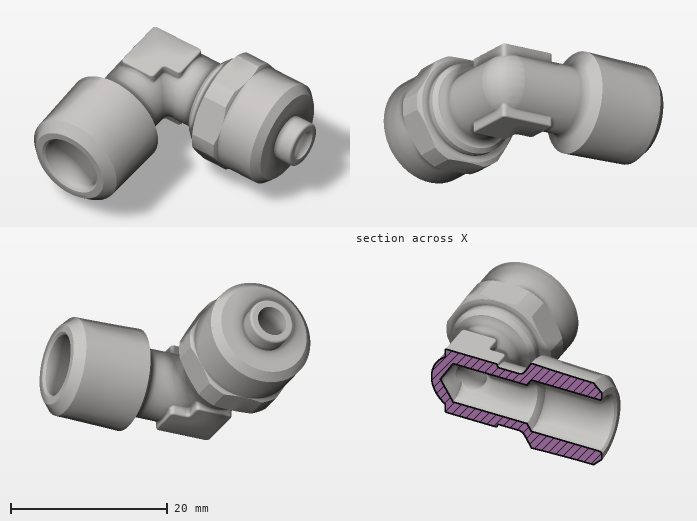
import cadquery as cq
import math


NECK_R = 4.5
OUTER_BEND_R = 4.0
INNER_BEND_R = 1.0

THREAD_NECK_END = 8.0
THREAD_BLEND_R = 1.0
THREAD_SHOULDER_ANGLE = 60
THREAD_BIG_R = 6.68
THREAD_SMALL_R = 6.45
THREAD_END = 20.0
THREAD_CHAMFER = 1.23

BORE_R = 4.0
BORE_END = 9.85
BORE_CHAMFER = 0.3
DRILL_R = 2.98
DRILL_TIP_Y = 3.15
DRILL_TIP_ANGLE = 118

COLLAR_START = 8.4
COLLAR_R = 6.0
COLLAR_CHAMFER = 0.55
COLLAR_BLEND_R = 0.9
TUBE_NECK_END = COLLAR_START - COLLAR_BLEND_R
NUT_START = 9.98
HEX_END = 13.98
NUT_END = 20.0
TUBE_END = 22.5

HEX_FLATS = 14.0
HEX_CORNER_R = 7.5
HEX_FACE_R = 6.9
HEX_CHAMFER_LENGTH = 0.32
NUT_R = HEX_FLATS / 2
NUT_CHAMFER = 1.0
TUBE_R = 3.0
TUBE_BORE_R = 1.98
TUBE_ROUND_R = 0.3

PAD_LONG = 5.0
PAD_SHORT = 2.5
PAD_HEIGHT = 5.0
PAD_CORNER_R = 0.5
PAD_EDGE_R = 0.2

TOLERANCE = 0.003


def revolve_on_x(points):
    """Turn a closed (x, radius) outline about the X axis."""
    return cq.Workplane("XY").polyline(points).close().revolve(360, (0, 0), (1, 0))


def revolve_on_y(points):
    """Turn a closed (radius, y) outline about the Y axis."""
    return cq.Workplane("XY").polyline(points).close().revolve(360, (0, 0), (0, 1))


def elbow_tube():
    """Two round arms joined at a mitre, the outer side of the mitre rounded into a bend."""
    tube_arm = cq.Workplane("YZ", origin=(-NECK_R, 0, 0)).circle(NECK_R).extrude(NECK_R + TUBE_NECK_END)
    thread_arm = cq.Workplane("XZ", origin=(0, NECK_R, 0)).circle(NECK_R).extrude(NECK_R + THREAD_NECK_END)
    reach = 2 * THREAD_END
    corners = [(-reach, reach), (reach, -reach), (reach, reach)]
    tube_side = cq.Workplane("XY").polyline(corners).close().extrude(NECK_R, both=True)
    mitred = tube_arm.intersect(tube_side).union(thread_arm.cut(tube_side))

    pivot = NECK_R - OUTER_BEND_R
    sharp_corner = (
        cq.Workplane("XY")
        .rect(NECK_R, NECK_R, centered=False)
        .extrude(NECK_R, both=True)
        .translate((-NECK_R - pivot, pivot, 0))
    )
    half_height = math.sqrt(NECK_R**2 - pivot**2)
    bend = (
        cq.Workplane("YZ", origin=(-pivot, 0, 0))
        .moveTo(pivot, -half_height)
        .threePointArc((NECK_R, 0), (pivot, half_height))
        .close()
        .revolve(90, (pivot, 0), (pivot, 1))
    )
    return mitred.cut(sharp_corner).union(bend)


def pads():
    """L-shaped block through the elbow whose two ends stand proud as wrench pads."""
    outline = [
        (-PAD_SHORT, PAD_SHORT),
        (PAD_LONG, PAD_SHORT),
        (PAD_LONG, -PAD_SHORT),
        (PAD_SHORT, -PAD_SHORT),
        (PAD_SHORT, -PAD_LONG),
        (-PAD_SHORT, -PAD_LONG),
    ]
    block = cq.Workplane("XY").polyline(outline).close().extrude(PAD_HEIGHT, both=True)
    return block.edges("|Z").fillet(PAD_CORNER_R).faces("|Z").edges().fillet(PAD_EDGE_R)


def round_inner_mitre(body):
    """Blend the visible inner corner between the two arms, above and below the mid-plane."""
    mitre_edges = [edge for edge in body.edges("%ELLIPSE").vals() if edge.Center().x > PAD_SHORT]
    return body.newObject(mitre_edges).fillet(INNER_BEND_R)


def blend_pad_bases(body, pad_block):
    """Blend the upright pad walls into the round arms where they meet."""
    pad_surface = pad_block.val().Shells()[0]
    wall_top = PAD_HEIGHT - PAD_EDGE_R - TOLERANCE

    def is_pad_base(edge):
        middle = edge.positionAt(0.5)
        on_pad = pad_surface.distance(cq.Vertex.makeVertex(*middle.toTuple())) < TOLERANCE
        return on_pad and abs(middle.z) < wall_top

    base_edges = [edge for edge in body.edges("not |Z").vals() if is_pad_base(edge)]
    return body.newObject(base_edges).fillet(PAD_EDGE_R)


def elbow():
    """Elbow tube with its wrench pads and all the blends between them."""
    pad_block = pads()
    body = round_inner_mitre(elbow_tube().union(pad_block))
    return blend_pad_bases(body, pad_block)


def thread_end():
    """Flared shoulder and tapered male end at the tip of the thread arm."""
    slope = math.radians(THREAD_SHOULDER_ANGLE)
    blend_center_r = NECK_R + THREAD_BLEND_R

    def blend_point(angle):
        return (
            blend_center_r - THREAD_BLEND_R * math.cos(angle),
            -THREAD_NECK_END - THREAD_BLEND_R * math.sin(angle),
        )

    blend_end = blend_point(slope)
    shoulder_y = blend_end[1] - (THREAD_BIG_R - blend_end[0]) / math.tan(slope)
    return (
        cq.Workplane("XY")
        .moveTo(0, -THREAD_NECK_END)
        .lineTo(NECK_R, -THREAD_NECK_END)
        .threePointArc(blend_point(slope / 2), blend_end)
        .lineTo(THREAD_BIG_R, shoulder_y)
        .lineTo(THREAD_SMALL_R, THREAD_CHAMFER - THREAD_END)
        .lineTo(THREAD_SMALL_R - THREAD_CHAMFER, -THREAD_END)
        .lineTo(0, -THREAD_END)
        .close()
        .revolve(360, (0, 0), (0, 1))
    )


def collar():
    """Collar that the nut seats on, flared out of the tube arm by a quarter-round."""
    diagonal = COLLAR_BLEND_R * math.sqrt(0.5)
    blend_top = NECK_R + COLLAR_BLEND_R
    return (
        cq.Workplane("XY")
        .moveTo(TUBE_NECK_END, 0)
        .lineTo(TUBE_NECK_END, NECK_R)
        .threePointArc((TUBE_NECK_END + diagonal, blend_top - diagonal), (COLLAR_START, blend_top))
        .lineTo(COLLAR_START, COLLAR_R - COLLAR_CHAMFER)
        .lineTo(COLLAR_START + COLLAR_CHAMFER, COLLAR_R)
        .lineTo(NUT_START, COLLAR_R)
        .lineTo(NUT_START, 0)
        .close()
        .revolve(360, (0, 0), (1, 0))
    )


def nut():
    """Hexagon with turned corners and chamfered ends, followed by a round sleeve."""
    hex_length = HEX_END - NUT_START
    across_corners = HEX_FLATS / math.cos(math.radians(30))
    hexagon = cq.Workplane("YZ", origin=(NUT_START, 0, 0)).polygon(6, across_corners).extrude(hex_length)
    turned = revolve_on_x([
        (NUT_START, 0),
        (NUT_START, HEX_FACE_R),
        (NUT_START + HEX_CHAMFER_LENGTH, HEX_CORNER_R),
        (HEX_END - HEX_CHAMFER_LENGTH, HEX_CORNER_R),
        (HEX_END, NUT_R),
        (HEX_END, 0),
    ])
    sleeve = cq.Workplane("YZ", origin=(HEX_END, 0, 0)).circle(NUT_R).extrude(NUT_END - HEX_END)
    return hexagon.intersect(turned).union(sleeve.faces(">X").edges().chamfer(NUT_CHAMFER))


def tube():
    """Plain tube end standing out of the nut, with a rounded outer rim."""
    stub = cq.Workplane("YZ", origin=(NUT_END, 0, 0)).circle(TUBE_R).extrude(TUBE_END - NUT_END)
    return stub.faces(">X").edges().fillet(TUBE_ROUND_R)


def thread_bore():
    """Stepped bore of the thread arm: wide bore, conical step, narrow bore and drill tip."""
    slope = 1 / math.tan(math.radians(DRILL_TIP_ANGLE / 2))
    return revolve_on_y([
        (0, -THREAD_END),
        (BORE_R + BORE_CHAMFER, -THREAD_END),
        (BORE_R, BORE_CHAMFER - THREAD_END),
        (BORE_R, -BORE_END),
        (DRILL_R, (BORE_R - DRILL_R) * slope - BORE_END),
        (DRILL_R, DRILL_TIP_Y - DRILL_R * slope),
        (0, DRILL_TIP_Y),
    ])


def tube_bore():
    """Straight bore from the crossing of the two axes out through the tube."""
    return cq.Workplane("YZ").circle(TUBE_BORE_R).extrude(TUBE_END)


outside = elbow().union(thread_end()).union(collar()).union(nut()).union(tube())
result = outside.cut(thread_bore()).cut(tube_bore())